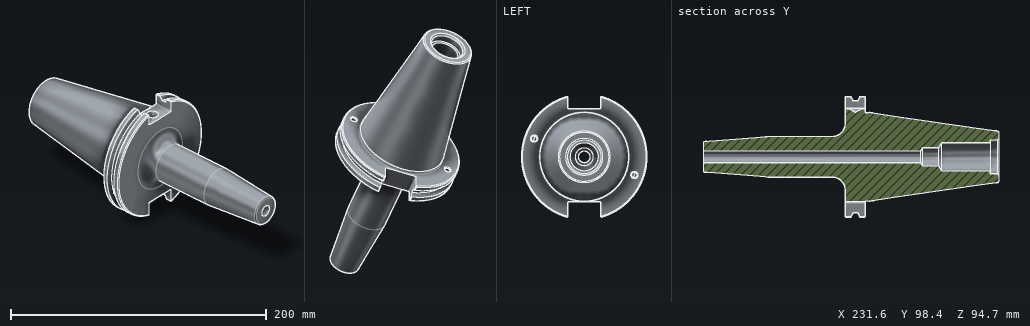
import math

import cadquery as cq

gauge_diameter = 69.85
taper_length = 101.6
taper_ratio = 7 / 24
shank_chamfer = 0.9
small_end_diameter = gauge_diameter - taper_length * taper_ratio

relief_diameter = 69.25
relief_start = 1.2
relief_fillet = 0.6

flange_diameter = 98.425
flange_start = 3.175
flange_width = 15.875
flange_end = flange_start + flange_width
rim_chamfer = 0.8
groove_center = 10.9
groove_top_width = 7.0
groove_depth = 3.5
groove_floor_width = 3.7

neck_diameter = 32.0
neck_fillet = 10.0
nose_start = 79.5
nose_end = 130.0
nose_diameter = 24.1
nose_fillet = 1.1

slot_width = 25.7
slot_mouth_width = 26.86
slot_fillet = 0.7
upper_slot_floor = 37.7
lower_slot_floor = 35.3
dimple_diameter = 9.53
drill_tip_angle = 118.0

bore_entry_diameter = 29.0
counterbore_diameter = 26.2
counterbore_depth = 7.0
thread_diameter = 21.97
thread_depth = 45.0
pilot_diameter = 14.0
pilot_depth = 60.0
through_diameter = 8.92

port_circle_radius = 41.7
port_angle = 20.0
port_diameter = 4.2
port_mouth_diameter = 5.7
cross_port_diameter = 4.13


def drill_tip_length(diameter_drop):
    """Axial length of a drill-point cone whose diameter shrinks by diameter_drop."""
    return diameter_drop / 2 / math.tan(math.radians(drill_tip_angle / 2))


def make_body():
    """Revolved outer shape: taper, collar, grooved flange, neck and nose."""
    small_radius = small_end_diameter / 2
    flange_radius = flange_diameter / 2
    relief_radius = relief_diameter / 2
    neck_radius = neck_diameter / 2
    nose_radius = nose_diameter / 2
    groove_floor_radius = flange_radius - groove_depth
    groove_top_half = groove_top_width / 2
    groove_floor_half = groove_floor_width / 2
    chamfered_radius = small_radius + shank_chamfer * taper_ratio / 2
    fillet_mid = neck_fillet * (1 - math.sqrt(0.5))

    profile = (
        cq.Workplane("XY")
        .moveTo(-taper_length, 0)
        .lineTo(-taper_length, small_radius - shank_chamfer)
        .lineTo(-taper_length + shank_chamfer, chamfered_radius)
        .lineTo(0, gauge_diameter / 2)
        .lineTo(relief_start, relief_radius)
        .lineTo(flange_start - relief_fillet, relief_radius)
        .radiusArc((flange_start, relief_radius + relief_fillet), -relief_fillet)
        .lineTo(flange_start, flange_radius - rim_chamfer)
        .lineTo(flange_start + rim_chamfer, flange_radius)
        .lineTo(groove_center - groove_top_half, flange_radius)
        .lineTo(groove_center - groove_floor_half, groove_floor_radius)
        .lineTo(groove_center + groove_floor_half, groove_floor_radius)
        .lineTo(groove_center + groove_top_half, flange_radius)
        .lineTo(flange_end - rim_chamfer, flange_radius)
        .lineTo(flange_end, flange_radius - rim_chamfer)
        .lineTo(flange_end, neck_radius + neck_fillet)
        .threePointArc(
            (flange_end + fillet_mid, neck_radius + fillet_mid),
            (flange_end + neck_fillet, neck_radius),
        )
        .lineTo(nose_start, neck_radius)
        .lineTo(nose_end, nose_radius)
        .lineTo(nose_end, 0)
        .close()
    )
    body = profile.revolve(360, (0, 0, 0), (1, 0, 0))
    return body.faces(">X").edges().fillet(nose_fillet)


def make_bore():
    """Stepped bore: chamfered counterbore, thread bore, pilot and through hole."""
    entry_radius = bore_entry_diameter / 2
    counterbore_radius = counterbore_diameter / 2
    thread_radius = thread_diameter / 2
    pilot_radius = pilot_diameter / 2
    through_radius = through_diameter / 2
    entry_length = entry_radius - counterbore_radius
    thread_tip = drill_tip_length(thread_diameter - pilot_diameter)
    pilot_tip = drill_tip_length(pilot_diameter - through_diameter)

    profile = (
        cq.Workplane("XY")
        .moveTo(0, 0)
        .lineTo(0, entry_radius)
        .lineTo(entry_length, counterbore_radius)
        .lineTo(counterbore_depth, counterbore_radius)
        .lineTo(counterbore_depth, thread_radius)
        .lineTo(thread_depth, thread_radius)
        .lineTo(thread_depth + thread_tip, pilot_radius)
        .lineTo(pilot_depth, pilot_radius)
        .lineTo(pilot_depth + pilot_tip, through_radius)
        .lineTo(taper_length + nose_end, through_radius)
        .lineTo(taper_length + nose_end, 0)
        .close()
    )
    return profile.revolve(360, (0, 0, 0), (1, 0, 0)).translate((-taper_length, 0, 0))


def make_drive_slot(floor_height, side):
    """Slot across the flange; side is +1 for the top and -1 for the bottom."""
    half_width = slot_width / 2
    half_mouth = slot_mouth_width / 2
    mouth_height = math.sqrt((flange_diameter / 2) ** 2 - half_mouth ** 2)
    chamfer = half_mouth - half_width
    clear_height = flange_diameter / 2
    half_clear = half_mouth + clear_height - mouth_height
    slot = (
        cq.Workplane("YZ", origin=(flange_start, 0, 0))
        .moveTo(-half_width, floor_height)
        .lineTo(half_width, floor_height)
        .lineTo(half_width, mouth_height - chamfer)
        .lineTo(half_clear, clear_height)
        .lineTo(-half_clear, clear_height)
        .lineTo(-half_width, mouth_height - chamfer)
        .close()
        .extrude(flange_width)
    )
    slot = slot.edges("|X and <Z").fillet(slot_fillet)
    if side < 0:
        slot = slot.mirror("XY")
    return slot


def make_dimple():
    """Drill-point recess in the floor of the upper slot."""
    radius = dimple_diameter / 2
    tip = drill_tip_length(dimple_diameter)
    profile = (
        cq.Workplane("XZ")
        .moveTo(0, 0)
        .lineTo(radius, 0)
        .lineTo(0, -tip)
        .close()
    )
    return profile.revolve(360, (0, 0, 0), (0, 1, 0)).translate((groove_center, 0, upper_slot_floor))


def make_coolant_port():
    """Axial port from the flange face, met by a radial port from the groove floor."""
    mouth_depth = (port_mouth_diameter - port_diameter) / 2
    axial_length = groove_center - flange_start
    radial_length = flange_diameter / 2 - port_circle_radius
    axial = (
        cq.Workplane("YZ", origin=(flange_start, port_circle_radius, 0))
        .circle(port_diameter / 2)
        .extrude(axial_length)
    )
    mouth = (
        cq.Workplane("YZ", origin=(flange_start, port_circle_radius, 0))
        .circle(port_mouth_diameter / 2)
        .workplane(offset=mouth_depth)
        .circle(port_diameter / 2)
        .loft()
    )
    radial = (
        cq.Workplane("XZ", origin=(groove_center, port_circle_radius, 0))
        .circle(cross_port_diameter / 2)
        .extrude(-radial_length)
    )
    return axial.union(mouth).union(radial)


result = make_body().cut(make_bore())
result = result.cut(make_drive_slot(upper_slot_floor, 1))
result = result.cut(make_drive_slot(lower_slot_floor, -1))
result = result.cut(make_dimple())
for half_turn in (0, 180):
    result = result.cut(make_coolant_port().rotate((0, 0, 0), (1, 0, 0), port_angle + half_turn))